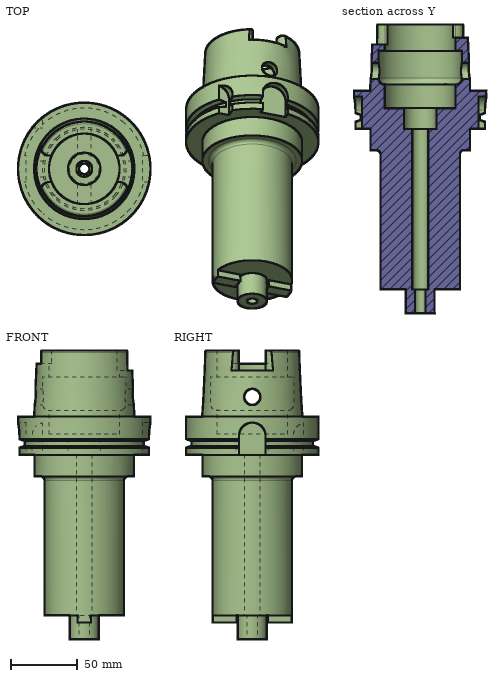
import cadquery as cq
import math

total_length = 218.0
flange_top = total_length - 50.0
flange_height = 29.0
flange_bottom = flange_top - flange_height
collar_height = 16.1
collar_bottom = flange_bottom - collar_height
spigot_length = 18.0

taper_rim_radius = 35.5
taper_base_radius = 38.0
collar_radius = 37.7
flange_radius = 50.03
neck_radius = 30.0
spigot_radius = 11.1
rim_round = 1.5
neck_round = 3.0

groove_centre = flange_top - 20.3
groove_mouth_width = 6.5
groove_floor_width = 3.7
groove_floor_radius = 46.0

clamp_lip_radius = 26.5
clamp_lip_depth = 20.0
clamp_chamber_radius = 31.5
clamp_chamber_round = clamp_chamber_radius - clamp_lip_radius
clamp_chamber_depth = 40.5 + clamp_chamber_round
bore_floor_depth = 63.2
coolant_seat_radius = 12.2
coolant_seat_bottom = flange_bottom
coolant_bore_radius = 6.0
coolant_bore_bottom = spigot_length
tip_bore_radius = 4.0

cross_hole_radius = 6.0
cross_hole_depth = 35.0

rim_slot_width = 20.0
rim_slot_depth_left = 10.0
rim_slot_depth_right = 15.0
rim_flat_distance = 32.7
rim_slot_round = 6.0

flange_slot_width = 20.0
flange_slot_height = 24.5
flange_slot_floor = 44.0
side_notch_centre = 41.0
side_notch_floor = 31.6

key_width = 10.0
key_height = 5.5
key_inner_distance = 11.5


def outer_body():
    """Solid of revolution: spigot, neck, collar, grooved flange and taper."""
    mouth_half = groove_mouth_width / 2
    floor_half = groove_floor_width / 2
    round_mid = neck_round * (1 - math.sqrt(0.5))
    profile = (
        cq.Workplane("XZ")
        .moveTo(0, 0)
        .lineTo(spigot_radius, 0)
        .lineTo(spigot_radius, spigot_length)
        .lineTo(neck_radius, spigot_length)
        .lineTo(neck_radius, collar_bottom - neck_round)
        .threePointArc(
            (neck_radius + round_mid, collar_bottom - round_mid),
            (neck_radius + neck_round, collar_bottom),
        )
        .lineTo(collar_radius, collar_bottom)
        .lineTo(collar_radius, flange_bottom)
        .lineTo(flange_radius, flange_bottom)
        .lineTo(flange_radius, groove_centre - mouth_half)
        .lineTo(groove_floor_radius, groove_centre - floor_half)
        .lineTo(groove_floor_radius, groove_centre + floor_half)
        .lineTo(flange_radius, groove_centre + mouth_half)
        .lineTo(flange_radius, flange_top)
        .lineTo(taper_base_radius, flange_top)
        .lineTo(taper_rim_radius, total_length)
        .lineTo(0, total_length)
        .close()
    )
    return profile.revolve(360, (0, 0), (0, 1)).faces(">Z").edges().fillet(rim_round)


def bore_step(radius, bottom, top):
    return cq.Workplane("XY").workplane(offset=bottom).circle(radius).extrude(top - bottom)


def stepped_bore():
    """Main bore with a wider clamping chamber behind its lip, then the coolant passage."""
    lip_bottom = total_length - clamp_lip_depth
    chamber_bottom = total_length - clamp_chamber_depth
    bore_floor = total_length - bore_floor_depth
    chamber = bore_step(clamp_chamber_radius, chamber_bottom, lip_bottom)
    chamber = chamber.faces("<Z").edges().fillet(clamp_chamber_round)
    return (
        bore_step(clamp_lip_radius, bore_floor, total_length)
        .union(chamber)
        .union(bore_step(coolant_seat_radius, coolant_seat_bottom, bore_floor))
        .union(bore_step(coolant_bore_radius, coolant_bore_bottom, coolant_seat_bottom))
        .union(bore_step(tip_bore_radius, 0, coolant_bore_bottom))
    )


def cross_hole():
    return (
        cq.Workplane("YZ")
        .center(0, total_length - cross_hole_depth)
        .circle(cross_hole_radius)
        .extrude(collar_radius, both=True)
    )


def rim_slot(side, depth):
    """Slot that flares through rounded corners into a flat; side is -1 or +1 along X."""
    half = rim_slot_width / 2
    flat = rim_flat_distance
    outside = flange_radius
    slot = cq.Workplane("XY").polyline([
        (0, -half),
        (flat, -half),
        (flat, -outside),
        (outside, -outside),
        (outside, outside),
        (flat, outside),
        (flat, half),
        (0, half),
    ]).close().extrude(depth)
    corners = cq.selectors.BoxSelector(
        (flat - half / 2, -1.5 * half, -depth), (flat + half / 2, 1.5 * half, 2 * depth)
    )
    slot = slot.edges("|Z").edges(corners).fillet(rim_slot_round)
    if side < 0:
        slot = slot.mirror("YZ")
    return slot.translate((0, 0, total_length - depth))


def flange_slot(side, centre_y, floor_distance):
    """Round-topped slot cut along X into the flange down to a flat floor."""
    half = flange_slot_width / 2
    top = flange_bottom + flange_slot_height
    return (
        cq.Workplane("YZ")
        .moveTo(centre_y - half, flange_bottom)
        .lineTo(centre_y + half, flange_bottom)
        .lineTo(centre_y + half, top - half)
        .threePointArc((centre_y, top), (centre_y - half, top - half))
        .close()
        .extrude(side * flange_radius)
        .translate((side * floor_distance, 0, 0))
    )


def drive_keys():
    """Two keys below the neck shoulder, ending flush with the neck surface."""
    key_bottom = spigot_length - key_height
    bar = cq.Workplane("XY").workplane(offset=key_bottom).rect(key_width, 2 * neck_radius)
    gap = cq.Workplane("XY").workplane(offset=key_bottom).rect(key_width, 2 * key_inner_distance)
    neck_envelope = bore_step(neck_radius, key_bottom, spigot_length)
    return bar.extrude(key_height).cut(gap.extrude(key_height)).intersect(neck_envelope)


result = outer_body().union(drive_keys()).cut(stepped_bore()).cut(cross_hole())
for side, depth in ((-1, rim_slot_depth_left), (1, rim_slot_depth_right)):
    result = result.cut(rim_slot(side, depth))
    result = result.cut(flange_slot(side, 0, flange_slot_floor))
result = result.cut(flange_slot(-1, side_notch_centre, side_notch_floor))